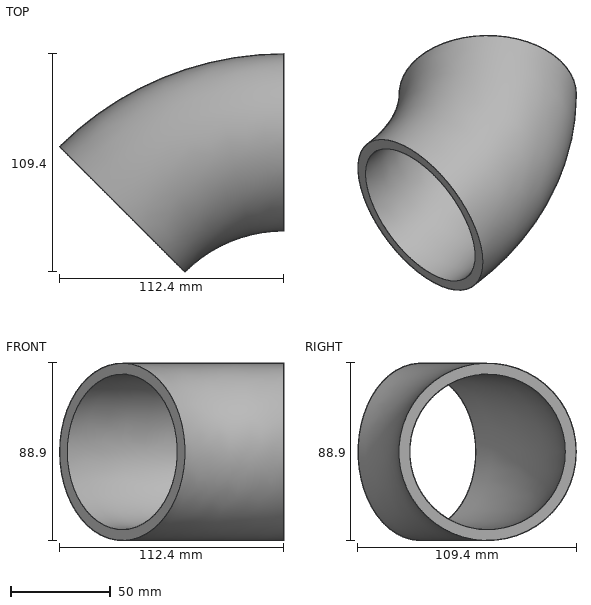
import cadquery as cq
import math

length_x = 112.4
bend_angle = 45.0
outer_diameter = 88.9
wall = 5.5

outer_radius = outer_diameter / 2
inner_radius = outer_radius - wall
bend_radius = length_x / math.sin(math.radians(bend_angle)) - outer_radius

result = (
    cq.Workplane("YZ")
    .center(bend_radius, 0)
    .circle(outer_radius)
    .circle(inner_radius)
    .revolve(bend_angle, (-bend_radius, 0), (-bend_radius, 1))
)